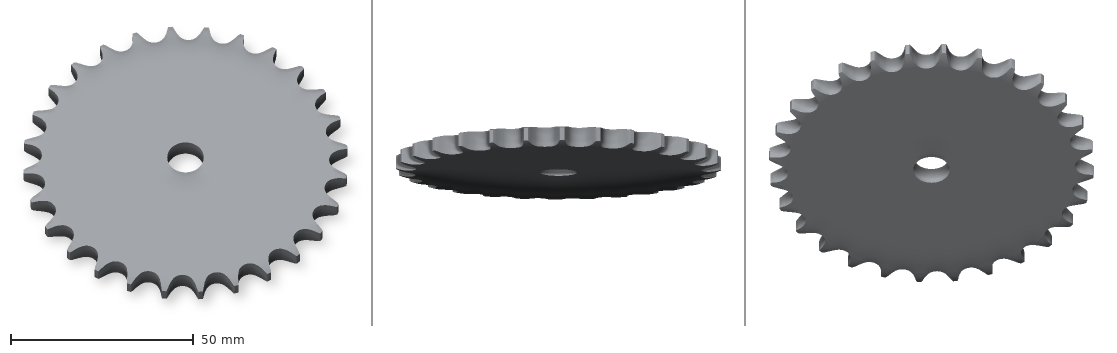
import cadquery as cq
import math

overall_width = 88.55
thickness = 5.3
bore_diameter = 10.0

tooth_count = 28
pitch_diameter = 85.0
seat_radius = 3.2
working_radius = 8.3
flat_length = 0.86
topping_radius = 5.2
seat_half_angle = 55 - 60 / tooth_count
working_angle = 18 - 56 / tooth_count
flank_angle = seat_half_angle + working_angle

relief_start_radius = 40.1
relief_depth = 0.9

pitch_angle = 360 / tooth_count


def arc_point(center, radius, angle):
    """Point on a circle, with the angle in degrees measured from -Y toward +X."""
    turn = math.radians(angle)
    return (center[0] + radius * math.sin(turn), center[1] - radius * math.cos(turn))


seat_center = (0, pitch_diameter / 2)
gap_bottom = arc_point(seat_center, seat_radius, 0)
seat_end = arc_point(seat_center, seat_radius, seat_half_angle)

working_center = arc_point(seat_center, seat_radius - working_radius, seat_half_angle)
working_middle = arc_point(working_center, working_radius, seat_half_angle + working_angle / 2)
working_end = arc_point(working_center, working_radius, flank_angle)

flat_end = (
    working_end[0] + flat_length * math.cos(math.radians(flank_angle)),
    working_end[1] + flat_length * math.sin(math.radians(flank_angle)),
)

topping_center = arc_point(flat_end, topping_radius, flank_angle)
tip_rise = overall_width / 2 - topping_center[1]
tip_angle = math.degrees(math.acos(tip_rise / topping_radius))
topping_middle = arc_point(topping_center, -topping_radius, (flank_angle + tip_angle) / 2)
tip_corner = arc_point(topping_center, -topping_radius, tip_angle)
outer_radius = math.hypot(*tip_corner)


def mirrored(point):
    return (-point[0], point[1])


def turned(point, angle):
    """Point turned clockwise about the wheel axis by an angle in degrees."""
    turn = math.radians(angle)
    x, y = point
    return (
        x * math.cos(turn) + y * math.sin(turn),
        y * math.cos(turn) - x * math.sin(turn),
    )


def toothed_plate():
    """Flat plate with the full tooth outline, centred on the XY plane."""
    outline = cq.Workplane("XY", origin=(0, 0, -thickness / 2)).moveTo(*mirrored(tip_corner))
    for gap in range(tooth_count):
        angle = gap * pitch_angle

        def place(point):
            return turned(point, angle)

        outline = (
            outline
            .threePointArc(place(mirrored(topping_middle)), place(mirrored(flat_end)))
            .lineTo(*place(mirrored(working_end)))
            .threePointArc(place(mirrored(working_middle)), place(mirrored(seat_end)))
            .threePointArc(place(gap_bottom), place(seat_end))
            .threePointArc(place(working_middle), place(working_end))
            .lineTo(*place(flat_end))
            .threePointArc(place(topping_middle), place(tip_corner))
        )
        tip_middle = turned((0, outer_radius), angle + pitch_angle / 2)
        next_corner = turned(mirrored(tip_corner), angle + pitch_angle)
        outline = outline.threePointArc(tip_middle, next_corner)
    return outline.close().extrude(thickness)


def relieved_disc():
    """Disc whose faces curve in toward the rim, tangent to the flat faces."""
    half_thickness = thickness / 2
    rim_height = half_thickness - relief_depth
    run = outer_radius - relief_start_radius
    relief_radius = (run ** 2 + relief_depth ** 2) / (2 * relief_depth)
    half_sweep = math.asin(run / relief_radius) / 2
    middle_radius = relief_start_radius + relief_radius * math.sin(half_sweep)
    middle_height = half_thickness - relief_radius * (1 - math.cos(half_sweep))
    return (
        cq.Workplane("XZ")
        .moveTo(0, -half_thickness)
        .lineTo(relief_start_radius, -half_thickness)
        .threePointArc((middle_radius, -middle_height), (outer_radius, -rim_height))
        .lineTo(outer_radius, rim_height)
        .threePointArc((middle_radius, middle_height), (relief_start_radius, half_thickness))
        .lineTo(0, half_thickness)
        .close()
        .revolve(360, (0, 0, 0), (0, 1, 0))
    )


bore = cq.Workplane("XY").circle(bore_diameter / 2).extrude(thickness, both=True)
result = toothed_plate().intersect(relieved_disc()).cut(bore)